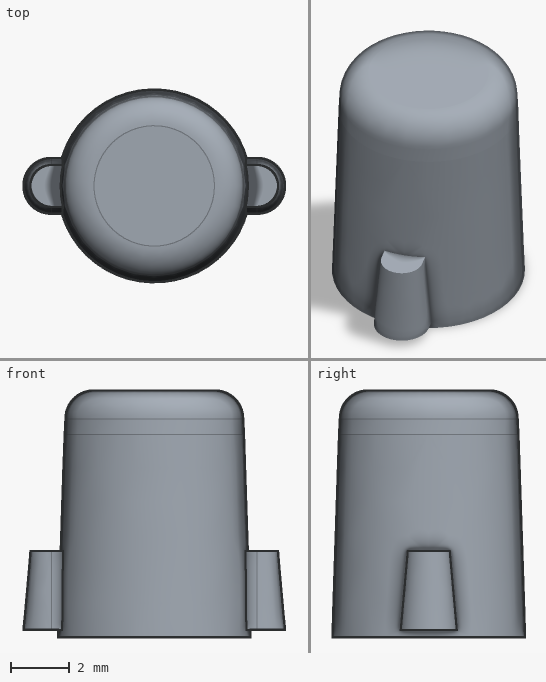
import cadquery as cq

height = 8.4
base_diameter = 6.56
base_radius = base_diameter / 2
seam_radius = 3.05
band_top_radius = 3.03
seam_height = 6.91
crown_radius = 0.98

lug_reach = 4.45
lug_bottom = 0.26
lug_top = 2.95
lug_base_radius = 0.95
lug_top_radius = 0.71
lug_center = lug_reach - lug_base_radius


def make_body():
    """Solid of revolution about Z with a flat top inside the rounded crown."""
    crown_start = height - crown_radius
    flat_radius = band_top_radius - crown_radius
    diagonal = crown_radius * 0.5 ** 0.5
    crown_middle = (flat_radius + diagonal, crown_start + diagonal)
    return (
        cq.Workplane("XZ")
        .lineTo(base_radius, 0)
        .lineTo(seam_radius, seam_height)
        .lineTo(band_top_radius, crown_start)
        .threePointArc(crown_middle, (flat_radius, height))
        .lineTo(0, height)
        .close()
        .revolve(360, (0, 0, 0), (0, 1, 0))
    )


def make_lug(side):
    """Lug on the +X (side = 1) or -X (side = -1) side, running into the body axis."""
    lug_height = lug_top - lug_bottom
    center = side * lug_center
    round_end = cq.Workplane(
        cq.Solid.makeCone(
            lug_base_radius, lug_top_radius, lug_height, pnt=cq.Vector(center, 0, lug_bottom)
        )
    )
    web = (
        cq.Workplane("YZ")
        .moveTo(-lug_base_radius, lug_bottom)
        .lineTo(lug_base_radius, lug_bottom)
        .lineTo(lug_top_radius, lug_top)
        .lineTo(-lug_top_radius, lug_top)
        .close()
        .extrude(center)
    )
    return web.union(round_end)


result = make_body()
for side in (-1, 1):
    result = result.union(make_lug(side))